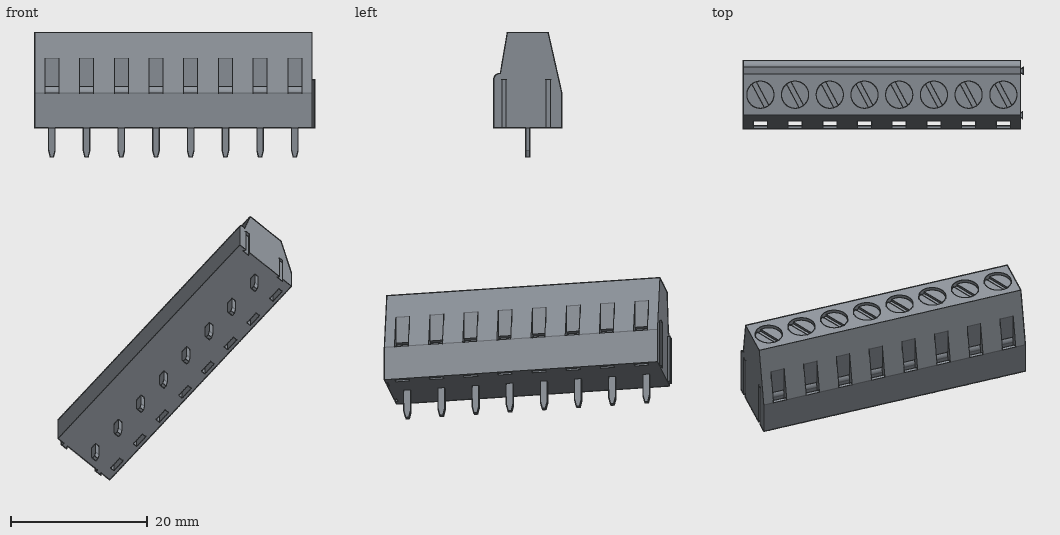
import cadquery as cq


poles = 8
total_length = 41.05
total_depth = 10.0
total_height = 18.25
pin_length = 4.25
rear_tongue_reach = 0.4

body_length = total_length - rear_tongue_reach
body_height = total_height - pin_length
pitch = body_length / poles
pole_centres = [(pole + 0.5) * pitch for pole in range(poles)]
half_depth = total_depth / 2

top_half_depth = 3.0
front_wall_height = 5.1
shoulder_radius = 1.0
shoulder_height = 8.0
shoulder_depth = half_depth - shoulder_radius

screw_diameter = 4.0
screw_recess = 0.5
drive_slot_width = 0.75
drive_slot_depth = 0.33
drive_slot_angle = 118.0

window_width = 2.05
window_top = 10.15
front_wall = 0.5
lip_radius = 1.0

pin_width = 1.0
pin_thickness = 0.65
pin_tip_width = 0.5
pin_tip_length = 1.0

joint_height = 7.05
joint_neck = 0.6
joint_head = 1.05
rear_joint_y = 3.5
front_joint_y = -3.0
front_tongue_reach = 0.3


def make_body():
    """Extrude the end section: sloped front, sloped back and a rounded rear shoulder."""
    section = (
        cq.Workplane("YZ")
        .moveTo(-half_depth, 0)
        .lineTo(half_depth, 0)
        .lineTo(half_depth, shoulder_height - shoulder_radius)
        .radiusArc((shoulder_depth, shoulder_height), -shoulder_radius)
        .lineTo(top_half_depth, body_height)
        .lineTo(-top_half_depth, body_height)
        .lineTo(-half_depth, front_wall_height)
        .close()
    )
    return section.extrude(body_length)


def make_screw_cut(x):
    """Round recess above the screw head, with the drive slot below it."""
    head_level = body_height - screw_recess
    slot_floor = cq.Workplane("XY", origin=(x, 0, head_level - drive_slot_depth))
    recess = (
        cq.Workplane("XY", origin=(x, 0, head_level))
        .circle(screw_diameter / 2)
        .extrude(screw_recess)
    )
    slot_limit = slot_floor.circle(screw_diameter / 2).extrude(drive_slot_depth)
    slot_bar = (
        slot_floor.transformed(rotate=(0, 0, drive_slot_angle))
        .rect(screw_diameter, drive_slot_width)
        .extrude(drive_slot_depth)
    )
    return recess.union(slot_bar.intersect(slot_limit))


def make_window_cut(x):
    """Vertical shaft behind the front wall, open below, with a ledge and a rounded wire lip."""
    slope_run = (half_depth - top_half_depth) / (body_height - front_wall_height)
    back_y = -top_half_depth - slope_run * (body_height - window_top)
    lip_top = front_wall_height + lip_radius
    section = (
        cq.Workplane("YZ", origin=(x, 0, 0))
        .moveTo(-half_depth + front_wall, 0)
        .lineTo(back_y, 0)
        .lineTo(back_y, front_wall_height)
        .radiusArc((back_y + lip_radius, lip_top), lip_radius)
        .lineTo(back_y, lip_top)
        .lineTo(back_y, window_top)
        .lineTo(-half_depth, window_top)
        .lineTo(-half_depth, front_wall_height)
        .lineTo(-half_depth + front_wall, front_wall_height)
        .close()
    )
    return section.extrude(window_width / 2, both=True)


def make_pin(x):
    """Flat solder pin with a tapered tip."""
    taper_start = pin_tip_length - pin_length
    outline = (
        cq.Workplane("XZ", origin=(x, 0, 0))
        .moveTo(-pin_width / 2, 0)
        .lineTo(-pin_width / 2, taper_start)
        .lineTo(-pin_tip_width / 2, -pin_length)
        .lineTo(pin_tip_width / 2, -pin_length)
        .lineTo(pin_width / 2, taper_start)
        .lineTo(pin_width / 2, 0)
        .close()
    )
    return outline.extrude(pin_thickness / 2, both=True)


def make_dovetail(x, y, reach):
    """Upright dovetail bar that widens from its neck at x along +X."""
    outline = (
        cq.Workplane("XY")
        .moveTo(x, y - joint_neck / 2)
        .lineTo(x + reach, y - joint_head / 2)
        .lineTo(x + reach, y + joint_head / 2)
        .lineTo(x, y + joint_neck / 2)
        .close()
    )
    return outline.extrude(joint_height)


result = make_body()

for centre in pole_centres:
    result = result.cut(make_screw_cut(centre))
    result = result.cut(make_window_cut(centre))
    result = result.union(make_pin(centre))

joints = [(rear_joint_y, rear_tongue_reach), (front_joint_y, front_tongue_reach)]
for joint_y, tongue_reach in joints:
    result = result.cut(make_dovetail(0, joint_y, tongue_reach))
    result = result.union(make_dovetail(body_length, joint_y, tongue_reach))